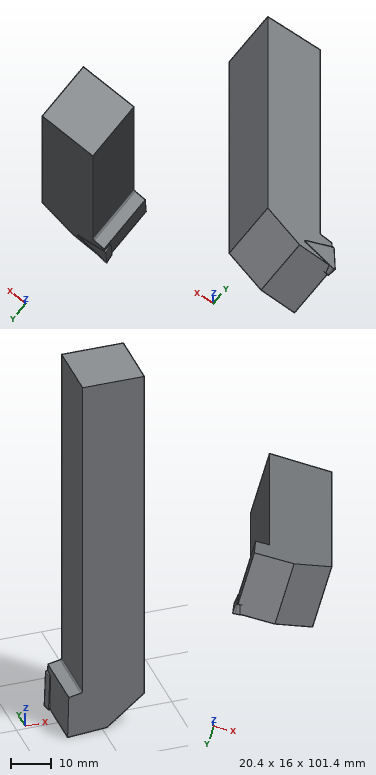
import cadquery as cq
import math

total_width = 20.4
total_height = 101.4
shank_side = 15.9
shank_left = total_width - shank_side

head_top_left = (0.9, 12.2)
head_bottom_left = (0.6, 0.6)
head_heel = (10.7, 1.4)
chamfer_top = 9.4
shoulder_height = 12.9
shoulder_fillet = 0.5

insert_thickness = 2.4
insert_proud = 0.1
inscribed_radius = 3.1
nose_radius = 0.4
relief_angle = 7.0
cutting_edge_tilt = 2.0
corner_count = 3

rake_face_y = shank_side + insert_proud


def make_insert():
    """Build the rounded triangle with its lowest nose touching X = 0 and Z = 0."""
    corner_reach = (inscribed_radius - nose_radius) / math.cos(math.pi / corner_count)
    corner_step = 360 / corner_count
    lower_corner_angle = 180 - cutting_edge_tilt + corner_step / 2
    lower_corner = math.radians(lower_corner_angle)
    center_x = nose_radius - corner_reach * math.cos(lower_corner)
    center_z = nose_radius - corner_reach * math.sin(lower_corner)

    nose_centers = []
    for index in range(corner_count):
        angle = math.radians(lower_corner_angle + index * corner_step)
        nose_centers.append(
            (center_x + corner_reach * math.cos(angle), center_z + corner_reach * math.sin(angle))
        )
    return (
        cq.Workplane("XZ", origin=(0, rake_face_y, 0))
        .polyline(nose_centers)
        .close()
        .offset2D(nose_radius)
        .extrude(insert_thickness, taper=relief_angle)
    )


def make_holder(insert):
    """Build the shank and head, with a seat that matches the insert."""
    outline = [
        (shank_left, total_height),
        (total_width, total_height),
        (total_width, chamfer_top),
        head_heel,
        head_bottom_left,
        head_top_left,
        (shank_left, shoulder_height),
    ]
    body = cq.Workplane("XZ").polyline(outline).close().extrude(-shank_side)
    shoulder_corner = cq.selectors.NearestToPointSelector((shank_left, shank_side / 2, shoulder_height))
    body = body.edges(shoulder_corner).fillet(shoulder_fillet)
    return body.cut(insert)


insert = make_insert()
holder = make_holder(insert)

result = cq.Compound.makeCompound([holder.val(), insert.val()])